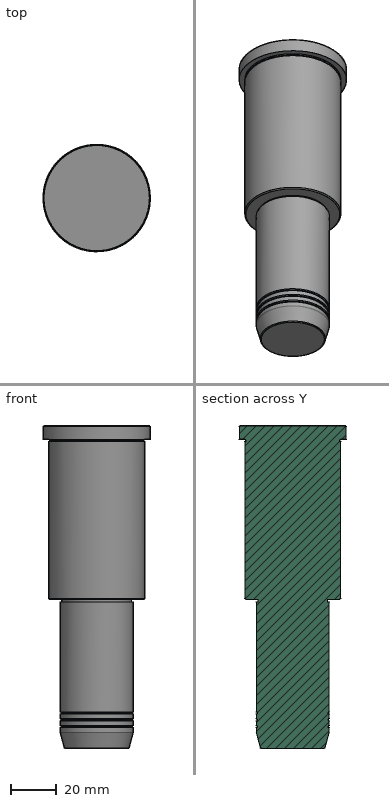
import cadquery as cq
import math

TOTAL_LENGTH = 141.0

HEAD_DIAMETER = 47.0
HEAD_THICKNESS = 6.0

SHANK_DIAMETER = 42.0

PIN_DIAMETER = 32.0
PIN_LENGTH = 65.0
NECK_LENGTH = 1.0
NECK_DEPTH = 0.7

TIP_LENGTH = 7.0
TIP_ANGLE = 15.0
TIP_CHAMFER = 0.35

SHOULDER_CHAMFER = 0.5

GROOVE_DEPTH = 0.4
GROOVE_WIDTH = 1.0
GROOVE_FLOOR_WIDTH = 0.3
TIP_GROOVE_COUNT = 3
TIP_GROOVE_PITCH = 3.0
LOWEST_TIP_GROOVE_Z = 9.6

HEAD_RADIUS = HEAD_DIAMETER / 2
HEAD_BOTTOM_Z = TOTAL_LENGTH - HEAD_THICKNESS
SHANK_RADIUS = SHANK_DIAMETER / 2
PIN_RADIUS = PIN_DIAMETER / 2
NECK_RADIUS = PIN_RADIUS - NECK_DEPTH
NECK_BOTTOM_Z = PIN_LENGTH - NECK_LENGTH
TIP_END_RADIUS = PIN_RADIUS - TIP_LENGTH * math.tan(math.radians(TIP_ANGLE))


def cylinder(radius, bottom, top):
    """Upright cylinder about the Z axis between two heights."""
    return cq.Workplane("XY").workplane(offset=bottom).circle(radius).extrude(top - bottom)


def revolve_about_z(points):
    """Solid of revolution from a closed outline of (radius, height) points."""
    return cq.Workplane("XZ").polyline(points).close().revolve(360, (0, 0, 0), (0, 1, 0))


def cut_groove(body, surface_radius, center_z):
    """Cut a ring groove into a round body, centred at the given height."""
    floor_radius = surface_radius - GROOVE_DEPTH
    half_floor = GROOVE_FLOOR_WIDTH / 2
    half_width = GROOVE_WIDTH / 2
    ring = revolve_about_z([
        (floor_radius, center_z - half_floor),
        (surface_radius, center_z - half_width),
        (surface_radius, center_z + half_width),
        (floor_radius, center_z + half_floor),
    ])
    return body.cut(ring)


def make_head():
    head = cylinder(HEAD_RADIUS, HEAD_BOTTOM_Z, TOTAL_LENGTH)
    return head.faces(">Z").edges().chamfer(SHOULDER_CHAMFER)


def make_shank():
    shank = cylinder(SHANK_RADIUS, PIN_LENGTH, HEAD_BOTTOM_Z)
    shank = shank.faces("<Z").edges().chamfer(SHOULDER_CHAMFER)
    return cut_groove(shank, SHANK_RADIUS, HEAD_BOTTOM_Z - GROOVE_WIDTH / 2)


def make_pin():
    """Straight pin with a conical tip, a reduced neck and a row of grooves near the tip."""
    pin = revolve_about_z([
        (0, 0),
        (TIP_END_RADIUS, 0),
        (PIN_RADIUS, TIP_LENGTH),
        (PIN_RADIUS, NECK_BOTTOM_Z),
        (NECK_RADIUS, NECK_BOTTOM_Z),
        (NECK_RADIUS, PIN_LENGTH),
        (0, PIN_LENGTH),
    ])
    pin = pin.faces("<Z").edges().chamfer(TIP_CHAMFER)
    for index in range(TIP_GROOVE_COUNT):
        pin = cut_groove(pin, PIN_RADIUS, LOWEST_TIP_GROOVE_Z + index * TIP_GROOVE_PITCH)
    return pin


result = make_head().union(make_shank()).union(make_pin())